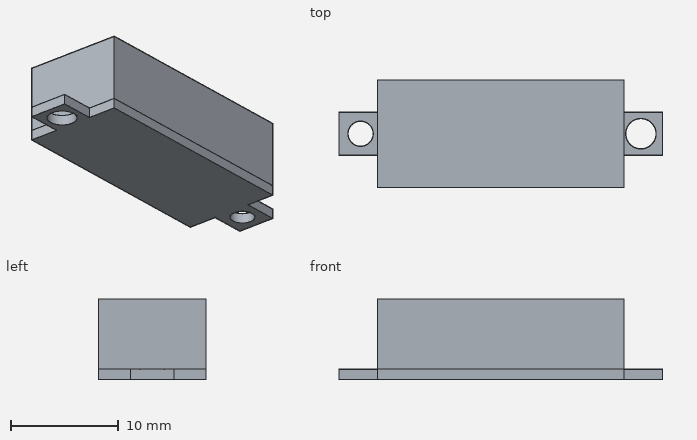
import cadquery as cq

total_length = 30.0
width = 10.0
total_height = 7.5

base_thickness = 1.0
ear_length = 3.57
ear_width = 4.0
hole_inset = 2.0
left_hole_diameter = 2.3
right_hole_diameter = 2.8

housing_length = total_length - 2 * ear_length
housing_height = total_height - base_thickness


def make_base():
    """Base plate with two ears, each with one round mounting hole."""
    plate = cq.Workplane("XY").rect(housing_length, width).extrude(base_thickness)
    ears = cq.Workplane("XY").rect(total_length, ear_width).extrude(base_thickness)
    base = plate.union(ears)
    hole_x = total_length / 2 - hole_inset
    for x, diameter in ((-hole_x, left_hole_diameter), (hole_x, right_hole_diameter)):
        hole = cq.Workplane("XY").center(x, 0).circle(diameter / 2).extrude(base_thickness)
        base = base.cut(hole)
    return base


def make_housing():
    """Plain rectangular block resting on the base plate."""
    block = cq.Workplane("XY").workplane(offset=base_thickness)
    return block.rect(housing_length, width).extrude(housing_height)


base = make_base()
housing = make_housing()

result = cq.Compound.makeCompound([base.val(), housing.val()])